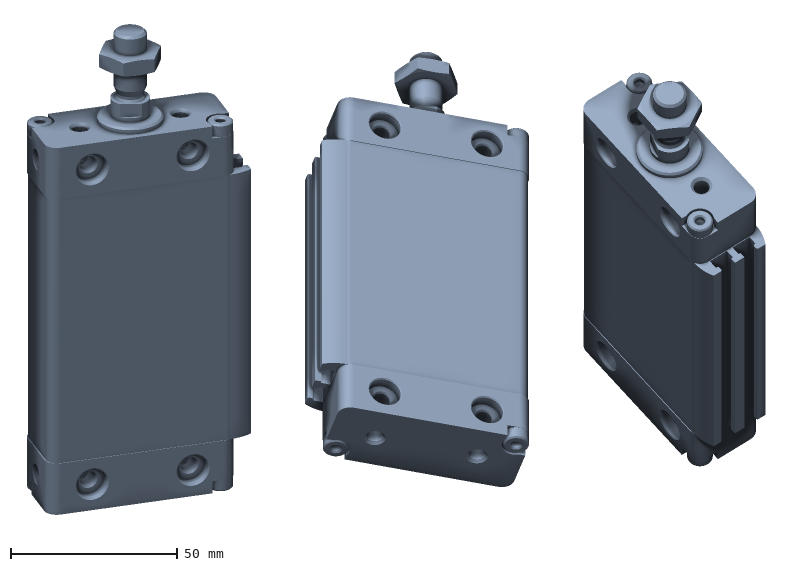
import cadquery as cq
import math

total_height = 152.0

cover_width = 24.0
cover_length = 59.7
cover_height = 17.0
cover_corner_radius = 4.0
body_height = 122.0
upper_cover_base = body_height - cover_height

collar_diameter = 20.0
collar_height = 2.0
collar_chamfer = 0.6

barrel_width = 23.5
barrel_corner_radius = 3.3
barrel_front_inset = 0.5
barrel_front = -cover_length / 2 + barrel_front_inset
barrel_back = 30.1
barrel_height = upper_cover_base - cover_height

rail_top = 35.1
rail_lip_height = 2.0
side_bevel_start = 26.9
side_bevel_end = 27.8
side_bevel_inset = 0.2
side_rail_outer_top = 9.7
side_rail_inner = 7.5
side_rail_lip = 6.5
lip_radius = 0.6
side_rail_bulge_radius = 14.9
middle_rail_stem = 2.1
middle_rail_head = 3.5

thread_diameter = 4.9
thread_mouth_diameter = 6.5
hole_spacing = 31.9
hole_row_offset = 8.7
end_hole_depth = 12.2
pilot_diameter = 4.0
pilot_depth = 13.7
mount_bore_diameter = 9.7
mount_bore_depth = 3.6
mount_mouth_diameter = 10.5
mount_inner_mouth_diameter = 5.8

screw_diameter = 7.8
screw_chamfer = 0.5
screw_height = 4.0
screw_socket_mouth_diameter = 4.0
screw_socket_diameter = 3.0
screw_socket_depth = 1.8
screw_socket_tip_angle = 120.0
screw_pocket_diameter = 8.7
screw_pocket_margin = 3.8
screw_x = cover_width / 2 - cover_corner_radius
screw_y = cover_length / 2 - cover_corner_radius

rod_diameter = 12.0
rod_shoulder = 129.8
rod_base = upper_cover_base
rod_flats_width = 10.0
rod_flats_height = 4.3
rod_flats_angle = -15.0
rod_thread_diameter = 10.0
rod_thread_chamfer = 0.8
rod_thread_base = 133.8
neck_diameter = 8.2
neck_base = 130.7
neck_top = 131.6
neck_foot_diameter = 9.5

nut_width = 17.0
nut_height = 5.0
nut_base = 140.8
nut_face_diameter = 16.9
nut_chamfer_angle = 15.0


def cone_mouth(diameter, mouth_diameter, plane):
    """45 degree conical hole mouth, wide at the plane and narrowing opposite to its normal."""
    depth = (mouth_diameter - diameter) / 2
    profile = [(0, 0), (mouth_diameter / 2, 0), (diameter / 2, -depth), (0, -depth)]
    cone = cq.Workplane("XZ").polyline(profile).close().revolve(360, (0, 0, 0), (0, 1, 0)).val()
    return cq.Workplane(cone.moved(cq.Location(plane)))


def blind_hole(origin, outward, depth):
    """Threaded hole with a chamfered mouth at origin, drilled opposite to the outward direction."""
    plane = cq.Plane(origin=origin, normal=outward)
    hole = cq.Workplane(plane).circle(thread_diameter / 2).extrude(-depth)
    return hole.union(cone_mouth(thread_diameter, thread_mouth_diameter, plane))


def pilot_hole(y):
    """Narrower bottom of an end hole."""
    hole = cq.Workplane("XY").center(0, y).circle(pilot_diameter / 2).extrude(pilot_depth)
    return hole.translate((0, 0, cover_height - pilot_depth))


def mounting_hole(y, z):
    """Through hole across the width with a chamfered counterbore on each side."""
    hole = cq.Workplane("YZ").center(y, z).circle(thread_diameter / 2).extrude(cover_width / 2, both=True)
    for side in (-1, 1):
        face = cq.Plane(origin=(side * cover_width / 2, y, z), normal=(side, 0, 0))
        floor = cq.Plane(origin=(side * (cover_width / 2 - mount_bore_depth), y, z), normal=(side, 0, 0))
        hole = hole.union(cq.Workplane(face).circle(mount_bore_diameter / 2).extrude(-mount_bore_depth))
        hole = hole.union(cone_mouth(mount_bore_diameter, mount_mouth_diameter, face))
        hole = hole.union(cone_mouth(thread_diameter, mount_inner_mouth_diameter, floor))
    return hole


def screw_pocket(side):
    """Corner recess around one screw head, open to the two adjoining sides."""
    corner_reach = 2 * cover_corner_radius
    pocket = cq.Workplane("XY").circle(screw_pocket_diameter / 2).extrude(screw_height)
    toward_end = cq.Workplane("XY").box(
        screw_pocket_margin + corner_reach, corner_reach, screw_height, centered=False
    )
    toward_side = cq.Workplane("XY").box(
        corner_reach, screw_pocket_margin + corner_reach, screw_height, centered=False
    )
    pocket = pocket.union(toward_end.translate((-screw_pocket_margin, 0, 0)))
    pocket = pocket.union(toward_side.translate((0, -screw_pocket_margin, 0)))
    if side < 0:
        pocket = pocket.rotate((0, 0, 0), (0, 0, 1), 180)
    return pocket.translate((side * screw_x, side * screw_y, cover_height - screw_height))


def screw_head(side):
    """Chamfered cap head with a drilled socket that ends in a cone."""
    radius = screw_socket_diameter / 2
    tip = radius / math.tan(math.radians(screw_socket_tip_angle / 2))
    mouth_radius = screw_socket_mouth_diameter / 2
    socket_profile = [
        (0, screw_height),
        (mouth_radius, screw_height),
        (radius, screw_height - (mouth_radius - radius)),
        (radius, screw_height - screw_socket_depth),
        (0, screw_height - screw_socket_depth - tip),
    ]
    socket = cq.Workplane("XZ").polyline(socket_profile).close().revolve(360, (0, 0, 0), (0, 1, 0))
    head = cq.Workplane("XY").circle(screw_diameter / 2).extrude(screw_height)
    head = head.faces(">Z").chamfer(screw_chamfer).cut(socket)
    return head.translate((side * screw_x, side * screw_y, cover_height - screw_height))


def make_cover():
    """Cover with its outer end face up and its barrel end at Z = 0."""
    cover = cq.Workplane("XY").rect(cover_width, cover_length).extrude(cover_height)
    cover = cover.edges("|Z").fillet(cover_corner_radius)
    hole_z = cover_height - hole_row_offset
    port_depth = (cover_length - hole_spacing) / 2
    for side in (-1, 1):
        hole_y = side * hole_spacing / 2
        cover = cover.cut(screw_pocket(side)).union(screw_head(side))
        cover = cover.cut(mounting_hole(hole_y, hole_z))
        cover = cover.cut(blind_hole((0, hole_y, cover_height), (0, 0, 1), end_hole_depth))
        cover = cover.cut(pilot_hole(hole_y))
    return cover.cut(blind_hole((0, -cover_length / 2, hole_z), (0, -1, 0), port_depth))


def make_lower_cover():
    """Cover mirrored to face down, so its screws lie below those of the upper cover."""
    return make_cover().mirror("XY").translate((0, 0, cover_height))


def make_upper_cover():
    """Cover with the rod collar and the rod bore."""
    collar = cq.Workplane("XY").circle(collar_diameter / 2).extrude(collar_height)
    collar = collar.faces(">Z").chamfer(collar_chamfer).translate((0, 0, cover_height))
    bore = cq.Workplane("XY").circle(rod_diameter / 2).extrude(cover_height + collar_height)
    return make_cover().union(collar).cut(bore).translate((0, 0, upper_cover_base))


def side_rail():
    """Curved rail that continues the +X side of the barrel and ends in a rounded inward lip."""
    half_width = barrel_width / 2
    lip_bottom = rail_top - rail_lip_height
    return (
        cq.Workplane("XY")
        .moveTo(side_rail_inner, side_bevel_start)
        .lineTo(half_width, side_bevel_start)
        .lineTo(half_width - side_bevel_inset, side_bevel_end)
        .radiusArc((side_rail_outer_top, rail_top), -side_rail_bulge_radius)
        .lineTo(side_rail_lip + lip_radius, rail_top)
        .radiusArc((side_rail_lip, rail_top - lip_radius), -lip_radius)
        .lineTo(side_rail_lip, lip_bottom + lip_radius)
        .radiusArc((side_rail_lip + lip_radius, lip_bottom), -lip_radius)
        .lineTo(side_rail_inner, lip_bottom)
        .close()
        .extrude(barrel_height)
    )


def rib(width, y_start, y_end):
    """Full-height block centred on X = 0 between two Y positions."""
    block = cq.Workplane("XY").box(width, y_end - y_start, barrel_height, centered=(True, False, False))
    return block.translate((0, y_start, 0))


def make_barrel():
    """Block between the covers with three sensor rails on its back, the middle one T-shaped."""
    barrel = rib(barrel_width, barrel_front, side_bevel_start)
    barrel = barrel.edges("|Z and <Y").fillet(barrel_corner_radius)
    barrel = barrel.union(rib(2 * side_rail_inner, side_bevel_start, barrel_back))
    rail = side_rail()
    barrel = barrel.union(rail).union(rail.mirror("YZ"))
    barrel = barrel.union(rib(middle_rail_stem, barrel_back, rail_top))
    barrel = barrel.union(rib(middle_rail_head, rail_top - rail_lip_height, rail_top))
    return barrel.translate((0, 0, cover_height))


def make_rod():
    """Turned rod with a necked thread and two wrench flats below the shoulder."""
    thread_radius = rod_thread_diameter / 2
    profile = [
        (0, rod_base),
        (rod_diameter / 2, rod_base),
        (rod_diameter / 2, rod_shoulder),
        (neck_foot_diameter / 2, rod_shoulder),
        (neck_diameter / 2, neck_base),
        (neck_diameter / 2, neck_top),
        (thread_radius, rod_thread_base),
        (thread_radius, total_height - rod_thread_chamfer),
        (thread_radius - rod_thread_chamfer, total_height),
        (0, total_height),
    ]
    rod = cq.Workplane("XZ").polyline(profile).close().revolve(360, (0, 0, 0), (0, 1, 0))
    for side in (-1, 1):
        flat = cq.Workplane("XY").rect(rod_diameter, 2 * rod_diameter).extrude(-rod_flats_height)
        flat = flat.translate((side * (rod_flats_width + rod_diameter) / 2, 0, rod_shoulder))
        rod = rod.cut(flat.rotate((0, 0, 0), (0, 0, 1), rod_flats_angle))
    return rod


def make_nut():
    """Hexagon nut with two corners on the Y axis, its corners turned down on both faces."""
    corner_diameter = nut_width / math.cos(math.radians(30))
    nut = cq.Workplane("XY").polygon(6, corner_diameter).circle(rod_thread_diameter / 2).extrude(nut_height)
    nut = nut.rotate((0, 0, 0), (0, 0, 1), 90)
    face_radius = nut_face_diameter / 2
    drop = (nut_width - face_radius) * math.tan(math.radians(nut_chamfer_angle))
    envelope_profile = [
        (0, 0),
        (face_radius, 0),
        (nut_width, drop),
        (nut_width, nut_height - drop),
        (face_radius, nut_height),
        (0, nut_height),
    ]
    envelope = cq.Workplane("XZ").polyline(envelope_profile).close().revolve(360, (0, 0, 0), (0, 1, 0))
    return nut.intersect(envelope).translate((0, 0, nut_base))


lower_cover = make_lower_cover()
barrel = make_barrel()
upper_cover = make_upper_cover()
rod = make_rod()
nut = make_nut()

result = cq.Compound.makeCompound(
    [lower_cover.val(), barrel.val(), upper_cover.val(), rod.val(), nut.val()]
)